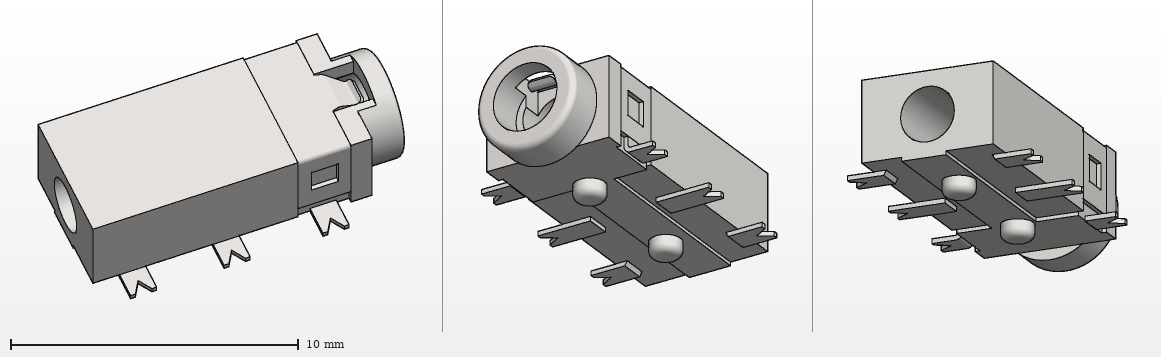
import cadquery as cq
import math


OVERALL_LENGTH = 12.0
OVERALL_HEIGHT = 4.2

HOUSING_WIDTH = 5.0
HOUSING_LENGTH = 10.5
TOP = 1.61
BOTTOM = -1.6
SIDE = HOUSING_WIDTH / 2

BUSHING_RADIUS = 2.0
BUSHING_LENGTH = OVERALL_LENGTH - HOUSING_LENGTH
BUSHING_EDGE_RADIUS = 0.23
BORE_RADIUS = 1.02
BUSHING_BORE_RADIUS = 1.3
FLAT_END_Y = 11.2

PEG_RADIUS = 0.6
PEG_EDGE_RADIUS = 0.29
PEG_Y_POSITIONS = (2.7, 7.72)
PEG_BOTTOM = BUSHING_RADIUS - OVERALL_HEIGHT

SHEET = 0.18
CORE_SIDE = SIDE - SHEET
CLIP_START_Y = 7.72
CLIP_END_Y = 9.71
CLIP_BOTTOM = -1.0
WINDOW_LENGTH = 1.01
WINDOW_HEIGHT = 0.98
WINDOW_CENTRE_Z = 0.3

TERMINAL_SPAN = 7.0
TIP_X = TERMINAL_SPAN / 2
TERMINAL_WIDTH = 0.98
TERMINAL_TOP = -1.45
TERMINAL_BOTTOM = TERMINAL_TOP - SHEET
NOTCH_DEPTH = 0.52
NOTCH_LIP = 0.18
FRONT_TERMINAL_Y = 1.5
MIDDLE_TERMINAL_Y = 5.02
REAR_TERMINAL_Y = 8.74
FRONT_TERMINAL_INNER_X = 2.02
FRONT_TERMINAL_END_LEAN = 0.1
MIDDLE_TERMINAL_INNER_X = 1.35
FOOT_BEND_RADIUS = 0.1

RIB_LEFT_X = -0.98
RIB_RIGHT_X = 0.71

SLOT_HALF_WIDTH = 0.89
TONGUE_ROOT_HALF_WIDTH = 0.85
TONGUE_NECK_HALF_WIDTH = 0.54
TONGUE_CORNER_RADIUS = 0.17
TONGUE_BEND_Y = 10.0
TONGUE_VALLEY_Y = 10.74
TONGUE_TIP_Y = 10.93
TONGUE_DOWN_ANGLE = math.radians(35)
TONGUE_UP_ANGLE = math.radians(40)
TONGUE_BEND_RADIUS = 0.25
TONGUE_VALLEY_RADIUS = 0.1


def block(x_range, y_range, z_range):
    """Box between the given limits along each axis."""
    size = [high - low for low, high in (x_range, y_range, z_range)]
    return cq.Workplane("XY").box(*size, centered=False).translate((x_range[0], y_range[0], z_range[0]))


def nearest_to(x, y, z):
    """Selector of the edge whose centre is nearest to a point."""
    return cq.selectors.NearestToPointSelector((x, y, z))


def notched_plan(y_centre):
    """Flat blank on the -X side, as deep as the bushing, with a V notch in its outer end."""
    half = TERMINAL_WIDTH / 2
    lip = half - NOTCH_LIP
    outline = [
        (0, -half), (-TIP_X, -half), (-TIP_X, -lip), (NOTCH_DEPTH - TIP_X, 0),
        (-TIP_X, lip), (-TIP_X, half), (0, half),
    ]
    return (
        cq.Workplane("XY").polyline(outline).close()
        .extrude(BUSHING_RADIUS, both=True).translate((0, y_centre, 0))
    )


def straight_terminal(y_centre, inner_x, end_lean=0.0):
    """Flat terminal on the -X side, its inner end leaning outward at the bottom."""
    profile = [
        (-TIP_X, TERMINAL_BOTTOM), (-TIP_X, TERMINAL_TOP),
        (-inner_x, TERMINAL_TOP), (-inner_x - end_lean, TERMINAL_BOTTOM),
    ]
    strip = (
        cq.Workplane("XZ").polyline(profile).close()
        .extrude(TERMINAL_WIDTH, both=True).translate((0, y_centre, 0))
    )
    return strip.intersect(notched_plan(y_centre))


def make_housing():
    """Block with bushing, bore, slot, clip seat, pegs and the moulded-in terminals."""
    body = block((-SIDE, SIDE), (0, HOUSING_LENGTH), (BOTTOM, TOP))

    for x_range in ((-SIDE, RIB_LEFT_X), (RIB_RIGHT_X, SIDE)):
        body = body.cut(block(x_range, (0, CLIP_START_Y), (BOTTOM, TERMINAL_TOP)))

    seat_y = (CLIP_START_Y, CLIP_END_Y)
    seat = block((-SIDE, SIDE), seat_y, (BOTTOM, TOP)).cut(
        block((-CORE_SIDE, CORE_SIDE), seat_y, (BOTTOM, TOP - SHEET))
    )
    body = body.cut(seat)

    bushing = (
        cq.Workplane("XZ").circle(BUSHING_RADIUS).extrude(-BUSHING_LENGTH)
        .faces(">Y").edges().fillet(BUSHING_EDGE_RADIUS)
        .translate((0, HOUSING_LENGTH, 0))
    )
    flat_x = (-BUSHING_RADIUS, BUSHING_RADIUS)
    bushing = bushing.cut(block(flat_x, (HOUSING_LENGTH, FLAT_END_Y), (TOP, BUSHING_RADIUS)))
    body = body.union(bushing)

    body = body.cut(cq.Workplane("XZ").circle(BORE_RADIUS).extrude(-HOUSING_LENGTH))
    bushing_bore = cq.Workplane("XZ").circle(BUSHING_BORE_RADIUS).extrude(-BUSHING_LENGTH)
    body = body.cut(bushing_bore.translate((0, HOUSING_LENGTH, 0)))
    slot_x = (-SLOT_HALF_WIDTH, SLOT_HALF_WIDTH)
    body = body.cut(block(slot_x, (CLIP_END_Y, FLAT_END_Y), (0, TOP)))

    for peg_y in PEG_Y_POSITIONS:
        peg = (
            cq.Workplane("XY").circle(PEG_RADIUS).extrude(BOTTOM - PEG_BOTTOM)
            .faces("<Z").edges().fillet(PEG_EDGE_RADIUS)
            .translate((0, peg_y, PEG_BOTTOM))
        )
        body = body.union(peg)

    front = straight_terminal(FRONT_TERMINAL_Y, FRONT_TERMINAL_INNER_X, FRONT_TERMINAL_END_LEAN)
    middle = straight_terminal(MIDDLE_TERMINAL_Y, MIDDLE_TERMINAL_INNER_X)
    for terminal in (front, middle):
        body = body.union(terminal).union(terminal.mirror("YZ"))
    rear = straight_terminal(REAR_TERMINAL_Y, CORE_SIDE)
    return body.union(rear.mirror("YZ"))


def make_tongue():
    """Spring tongue: level root, slope down into the bore, upturned tapered tip."""
    valley_z = TOP - (TONGUE_VALLEY_Y - TONGUE_BEND_Y) * math.tan(TONGUE_DOWN_ANGLE)
    tip_z = valley_z + (TONGUE_TIP_Y - TONGUE_VALLEY_Y) * math.tan(TONGUE_UP_ANGLE)

    bend_shift = -SHEET * math.tan(TONGUE_DOWN_ANGLE / 2)
    valley_lean = (TONGUE_UP_ANGLE - TONGUE_DOWN_ANGLE) / 2
    valley_drop = SHEET / math.cos((TONGUE_UP_ANGLE + TONGUE_DOWN_ANGLE) / 2)
    end_y = TONGUE_TIP_Y + SHEET * math.sin(TONGUE_UP_ANGLE)
    end_z = tip_z - SHEET * math.cos(TONGUE_UP_ANGLE)
    profile = [
        (CLIP_END_Y, TOP),
        (TONGUE_BEND_Y, TOP),
        (TONGUE_VALLEY_Y, valley_z),
        (TONGUE_TIP_Y, tip_z),
        (end_y, end_z),
        (
            TONGUE_VALLEY_Y + valley_drop * math.sin(valley_lean),
            valley_z - valley_drop * math.cos(valley_lean),
        ),
        (TONGUE_BEND_Y + bend_shift, TOP - SHEET),
        (CLIP_END_Y, TOP - SHEET),
    ]
    strip = cq.Workplane("YZ").polyline(profile).close().extrude(TONGUE_ROOT_HALF_WIDTH, both=True)
    bends = (
        (TONGUE_BEND_Y, TOP, TONGUE_BEND_RADIUS),
        (TONGUE_BEND_Y + bend_shift, TOP - SHEET, TONGUE_BEND_RADIUS - SHEET),
        (TONGUE_VALLEY_Y, valley_z, TONGUE_VALLEY_RADIUS),
        (TONGUE_VALLEY_Y, valley_z - valley_drop, TONGUE_VALLEY_RADIUS + SHEET),
    )
    for bend_y, bend_z, radius in bends:
        strip = strip.edges(nearest_to(0, bend_y, bend_z)).fillet(radius)

    half_plan = [
        (0, CLIP_END_Y),
        (-TONGUE_ROOT_HALF_WIDTH, CLIP_END_Y),
        (-TONGUE_NECK_HALF_WIDTH, TONGUE_VALLEY_Y),
        (-TONGUE_NECK_HALF_WIDTH, end_y),
        (0, end_y),
    ]
    plan = cq.Workplane("XY").polyline(half_plan).close().extrude(TOP)
    tongue = strip.intersect(plan.union(plan.mirror("YZ")))

    tip_middle_y = (TONGUE_TIP_Y + end_y) / 2
    tip_middle_z = (tip_z + end_z) / 2
    for corner_x in (-TONGUE_NECK_HALF_WIDTH, TONGUE_NECK_HALF_WIDTH):
        tongue = tongue.edges(nearest_to(corner_x, tip_middle_y, tip_middle_z)).fillet(TONGUE_CORNER_RADIUS)
    return tongue


def make_clip():
    """Sheet metal saddle over the housing, with a window in each side and the tongue on top."""
    clip_y = (CLIP_START_Y, CLIP_END_Y)
    saddle = block((-SIDE, SIDE), clip_y, (CLIP_BOTTOM, TOP)).edges("|Y and >Z").fillet(SHEET)
    saddle = saddle.cut(block((-CORE_SIDE, CORE_SIDE), clip_y, (CLIP_BOTTOM, TOP - SHEET)))
    windows = cq.Workplane("XY").box(HOUSING_WIDTH, WINDOW_LENGTH, WINDOW_HEIGHT)
    saddle = saddle.cut(windows.translate((0, REAR_TERMINAL_Y, WINDOW_CENTRE_Z)))
    return saddle.union(make_tongue())


def make_foot():
    """Rear terminal at -X: hangs below the clip and bends outward to its notched end."""
    outer_radius = FOOT_BEND_RADIUS + SHEET
    foot = (
        cq.Workplane("XZ")
        .moveTo(-CORE_SIDE, CLIP_BOTTOM)
        .lineTo(-CORE_SIDE, TERMINAL_BOTTOM + outer_radius)
        .radiusArc((-CORE_SIDE - outer_radius, TERMINAL_BOTTOM), outer_radius)
        .lineTo(-TIP_X, TERMINAL_BOTTOM)
        .lineTo(-TIP_X, TERMINAL_TOP)
        .lineTo(-SIDE - FOOT_BEND_RADIUS, TERMINAL_TOP)
        .radiusArc((-SIDE, TERMINAL_TOP + FOOT_BEND_RADIUS), -FOOT_BEND_RADIUS)
        .lineTo(-SIDE, CLIP_BOTTOM)
        .close()
        .extrude(TERMINAL_WIDTH, both=True)
        .translate((0, REAR_TERMINAL_Y, 0))
    )
    return foot.intersect(notched_plan(REAR_TERMINAL_Y))


housing = make_housing()
clip = make_clip()
foot = make_foot()

result = cq.Compound.makeCompound([housing.val(), clip.val(), foot.val()])